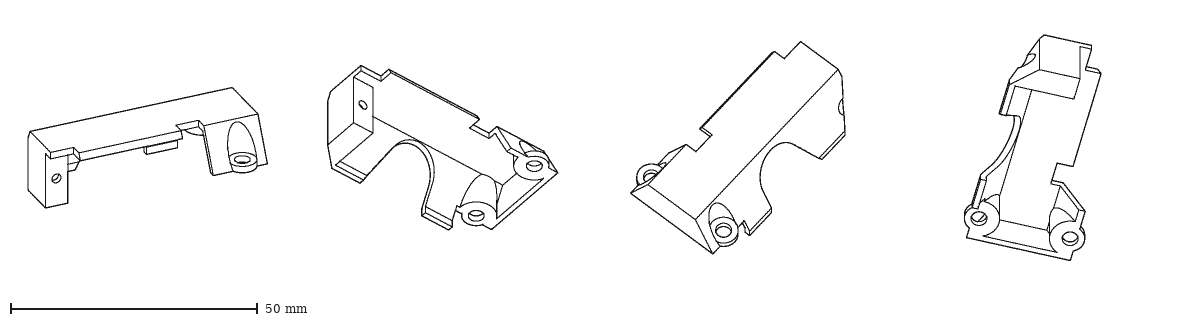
import cadquery as cq
import math

LENGTH = 45.1
HEIGHT = 14.0
TOP_HALF_WIDTH = 6.25
SIDE_SLOPE = 2.0
LEFT_FACE_X = -12.25
WALL = 1.2
ROOF = 1.5
REAR_BASE_Z = 4.75
REAR_BASE_START_Y = 35.15

RIGHT_WALL_START_Y = 33.0
NOTCH_X = 3.7
REAR_NOTCH_START_Y = 27.95
FRONT_NOTCH_END_Y = 5.15

BLOCK_RIGHT_X = 1.25
CORNER_CUT = 5.0
SCREW_Y = 2.45
SCREW_Z = 6.25
SCREW_HOLE_D = 2.0
SCREW_HEAD_D = 3.5
SCREW_SEAT_X = BLOCK_RIGHT_X - WALL

ARCH_Y = 22.32
ARCH_Z = 6.4
ARCH_R = 5.85
ARCH_FLARE = math.radians(28)

LUG_OUTER_X = 25.05 / 2
LUG_R = 2.98
LUG_X = LUG_OUTER_X - LUG_R
LUG_Y = 40.1
LUG_THICKNESS = 1.5
LUG_HOLE_D = 3.2

LUG_TOP_Z = REAR_BASE_Z + LUG_THICKNESS
ROOF_UNDERSIDE_Z = HEIGHT - ROOF


def box(x0, x1, y0, y1, z0, z1):
    return cq.Workplane("XY").box(x1 - x0, y1 - y0, z1 - z0, centered=False).translate((x0, y0, z0))


def side_x(z, inset=0.0):
    """Half width of the sloped sides at height z, moved inward by inset along the normal."""
    return TOP_HALF_WIDTH + (HEIGHT - z) / SIDE_SLOPE - inset * math.hypot(1, 1 / SIDE_SLOPE)


def section_prism(inset, top_z, y0, y1):
    """Extrude the housing cross-section, offset inward by inset, from y0 to y1."""
    left_x = LEFT_FACE_X + inset
    knee_z = HEIGHT - SIDE_SLOPE * (-left_x - side_x(HEIGHT, inset))
    outline = [
        (left_x, 0),
        (left_x, knee_z),
        (-side_x(top_z, inset), top_z),
        (side_x(top_z, inset), top_z),
        (side_x(0, inset), 0),
    ]
    return cq.Workplane("XZ", origin=(0, y0, 0)).polyline(outline).close().extrude(y0 - y1)


def lug_cylinder(side, radius, z0, z1):
    return cq.Workplane("XY", origin=(side * LUG_X, LUG_Y, z0)).circle(radius).extrude(z1 - z0)


def arch_cutter():
    tangent_y = ARCH_Y - ARCH_R * math.cos(ARCH_FLARE)
    tangent_z = ARCH_Z + ARCH_R * math.sin(ARCH_FLARE)
    foot_y = tangent_y - tangent_z * math.tan(ARCH_FLARE)
    return (
        cq.Workplane("YZ", origin=(LEFT_FACE_X, 0, 0))
        .moveTo(ARCH_Y + ARCH_R, 0)
        .lineTo(ARCH_Y + ARCH_R, ARCH_Z)
        .threePointArc((ARCH_Y, ARCH_Z + ARCH_R), (tangent_y, tangent_z))
        .lineTo(foot_y, 0)
        .close()
        .extrude(-LEFT_FACE_X)
    )


def screw_cylinder(diameter, x_end):
    return (
        cq.Workplane("YZ", origin=(LEFT_FACE_X, SCREW_Y, SCREW_Z))
        .circle(diameter / 2)
        .extrude(x_end - LEFT_FACE_X)
    )


envelope = section_prism(0, HEIGHT, 0, LENGTH)
cavity = section_prism(WALL, ROOF_UNDERSIDE_Z, CORNER_CUT, LENGTH - WALL)
body = envelope.cut(cavity)

for side in (-1, 1):
    sleeve = lug_cylinder(side, LUG_R + WALL, REAR_BASE_Z, HEIGHT)
    body = body.union(sleeve.intersect(envelope))

far_x = side_x(0)
body = body.cut(box(LEFT_FACE_X, far_x, REAR_BASE_START_Y, LENGTH, 0, REAR_BASE_Z))

body = body.cut(box(0, far_x, CORNER_CUT, RIGHT_WALL_START_Y, 0, ROOF_UNDERSIDE_Z))
body = body.cut(box(BLOCK_RIGHT_X, far_x, 0, CORNER_CUT, 0, ROOF_UNDERSIDE_Z))
body = body.cut(box(0, far_x, RIGHT_WALL_START_Y, REAR_BASE_START_Y, 0, REAR_BASE_Z))
for y0, y1 in ((0, FRONT_NOTCH_END_Y), (REAR_NOTCH_START_Y, RIGHT_WALL_START_Y)):
    body = body.cut(box(NOTCH_X, far_x, y0, y1, 0, HEIGHT))

corner = (
    cq.Workplane("XY")
    .polyline([(LEFT_FACE_X, 0), (LEFT_FACE_X + CORNER_CUT, 0), (LEFT_FACE_X, CORNER_CUT)])
    .close()
    .extrude(HEIGHT)
)
body = body.cut(arch_cutter()).cut(corner)
body = body.cut(screw_cylinder(SCREW_HEAD_D, SCREW_SEAT_X))
body = body.cut(screw_cylinder(SCREW_HOLE_D, BLOCK_RIGHT_X))

for side in (-1, 1):
    body = body.cut(lug_cylinder(side, LUG_R, LUG_TOP_Z, HEIGHT))
    body = body.union(lug_cylinder(side, LUG_R, REAR_BASE_Z, LUG_TOP_Z))
    body = body.cut(lug_cylinder(side, LUG_HOLE_D / 2, REAR_BASE_Z, LUG_TOP_Z))

result = body